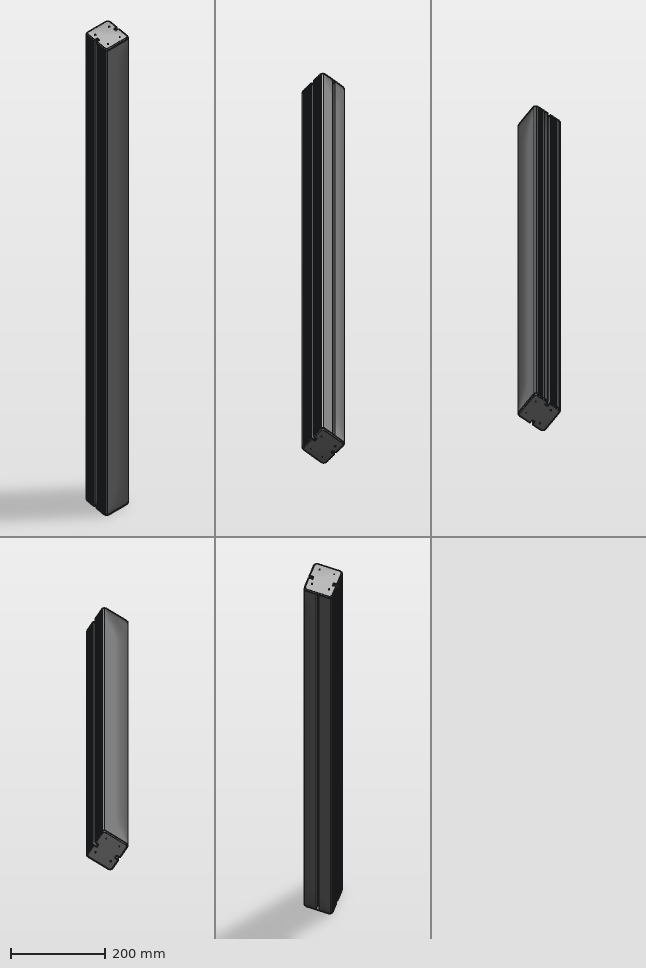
import cadquery as cq

LENGTH = 1372.0
WIDTH_X = 70.0
WIDTH_Y = 65.0

CAP_THICKNESS = 5.0
CAP_CORNER_RADIUS = 8.0
CAP_CHAMFER = 2.2

LEFT_HOLES = (-16.0, 19.0, 3.0)
RIGHT_HOLES = (22.0, 16.0, 1.0)

PROFILE_LENGTH = LENGTH - 2 * CAP_THICKNESS
PROFILE_CORNER_CHAMFER = 3.0
COVER_THICKNESS = 3.4

SLOT_WIDTH = 7.0
SLOT_DEPTH = 10.0
SLOT_X = -2.0

FLUTE_WIDTH = 4.0
FLUTE_PITCH = 2 * FLUTE_WIDTH
FLUTE_DEPTH = 1.0
FLUTES_PER_PANEL = 3


def long_grooves(centers, size_x, size_y):
    """Full-length cutters of rectangular section, one at each centre."""
    return cq.Workplane("XY").pushPoints(centers).rect(size_x, size_y).extrude(LENGTH / 2, both=True)


def y_side_grooves(x_places, width, depth):
    """Cutters for grooves that open to both -Y and +Y at each given X."""
    centers = [(x, side * WIDTH_Y / 2) for x in x_places for side in (-1, 1)]
    return long_grooves(centers, width, 2 * depth)


def y_slots():
    """The deep slot in the -Y side and its mirror image in the +Y side."""
    return y_side_grooves([SLOT_X], SLOT_WIDTH, SLOT_DEPTH)


def x_slot():
    """The deep slot in the middle of the -X side."""
    return long_grooves([(-WIDTH_X / 2, 0)], 2 * SLOT_DEPTH, SLOT_WIDTH)


def flutes():
    """Shallow grooves on both Y sides, counted outward from the lands beside the slots."""
    first = SLOT_WIDTH / 2 + 1.5 * FLUTE_WIDTH
    steps = [first + i * FLUTE_PITCH for i in range(FLUTES_PER_PANEL)]
    x_places = [SLOT_X + side * step for step in steps for side in (-1, 1)]
    return y_side_grooves(x_places, FLUTE_WIDTH, FLUTE_DEPTH)


def outer_section():
    """Chamfered bar with the full outline that profile and cover make up together."""
    bar = cq.Workplane("XY").box(WIDTH_X, WIDTH_Y, PROFILE_LENGTH)
    return bar.edges("|Z").chamfer(PROFILE_CORNER_CHAMFER)


def cover_space():
    """Block that holds the part of the section taken by the cover on the +X side."""
    block = cq.Workplane("XY").box(COVER_THICKNESS, WIDTH_Y, PROFILE_LENGTH)
    return block.translate(((WIDTH_X - COVER_THICKNESS) / 2, 0, 0))


def make_profile():
    """Slotted and fluted bar that fills the section up to the cover."""
    return outer_section().cut(cover_space()).cut(y_slots()).cut(x_slot()).cut(flutes())


def make_cover():
    """Flat strip closing the +X side."""
    return outer_section().intersect(cover_space())


def make_cap():
    """Top cap: rounded plate with a chamfered rim, the two Y slots and four screw holes."""
    plate = (
        cq.Workplane("XY", origin=(0, 0, PROFILE_LENGTH / 2))
        .rect(WIDTH_X, WIDTH_Y)
        .extrude(CAP_THICKNESS)
        .edges("|Z")
        .fillet(CAP_CORNER_RADIUS)
        .faces(">Z")
        .edges()
        .chamfer(CAP_CHAMFER)
        .cut(y_slots())
    )
    for x, half_spacing, diameter in (LEFT_HOLES, RIGHT_HOLES):
        centers = [(x, -half_spacing), (x, half_spacing)]
        plate = plate.faces(">Z").workplane(origin=(0, 0, 0)).pushPoints(centers).hole(diameter)
    return plate


profile = make_profile()
cover = make_cover()
top_cap = make_cap()
bottom_cap = top_cap.mirror("XY")

result = cq.Compound.makeCompound([profile.val(), cover.val(), top_cap.val(), bottom_cap.val()])